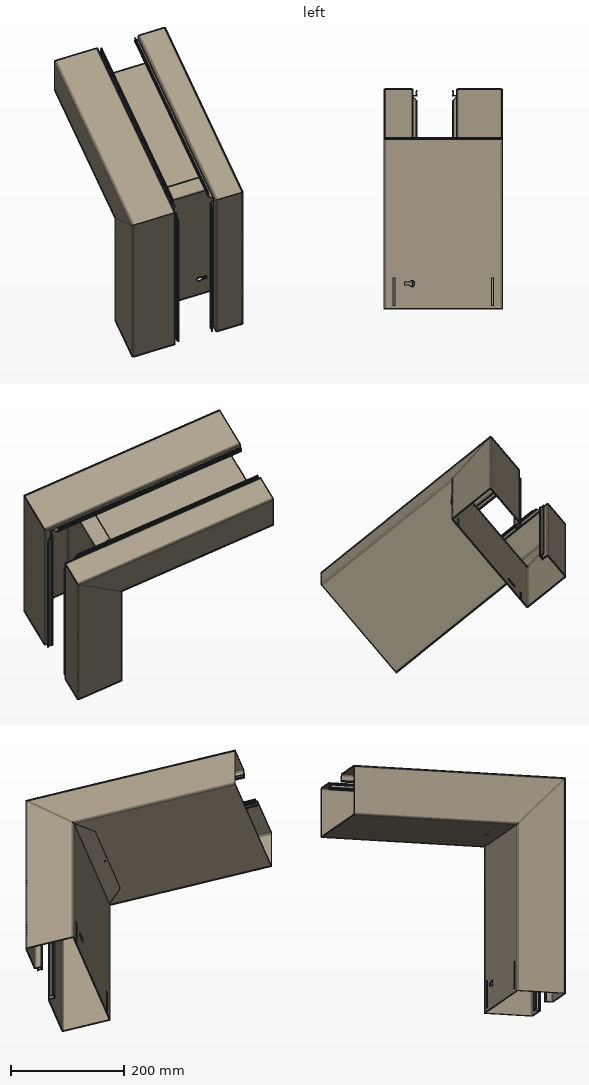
import cadquery as cq

leg_length = 389.5
trunk_width = 210.0
trunk_depth = 89.5
sheet = 1.5
bend_radius = 2.7
inner_bend_radius = bend_radius - sheet

wide_cover_side = 81.8
narrow_cover_side = 52.0
slot_wall_depth = 13.0

lip_sheet = 1.0
lip_reach = 7.0
hook_tip_drop = 3.0
hook_jog = 1.0
hook_jog_low = 2.0
hook_jog_high = 7.5
lip_end_setback = 1.0
lip_miter_gap = 14.8

tab_length = 30.8
tab_rounding = 1.35
tab_hole_diameter = 2.5
tab_hole_setback = 24.0

strap_recess_width = 4.0
strap_recess_length = 48.5
strap_recess_depth = sheet / 2
strap_recess_bottom = 6.2
strap_recess_spacing = 173.7
keyhole_y = 55.7
keyhole_z = 44.8
keyhole_diameter = 10.5
keyhole_neck_width = 5.5
keyhole_neck_reach = 13.2

half_width = trunk_width / 2
floor_z = leg_length - trunk_depth
slot_low_y = wide_cover_side - half_width
slot_high_y = half_width - narrow_cover_side
slot_wall_z = leg_length - slot_wall_depth
swap_x_and_z = cq.Vector(1, 0, -1)


def block(x_range, y_range, z_range):
    sizes = [high - low for low, high in (x_range, y_range, z_range)]
    corner = (x_range[0], y_range[0], z_range[0])
    return cq.Workplane("XY").box(*sizes, centered=False).translate(corner)


def round_bends(body, radius):
    """Round the lengthwise edges of the top and bottom faces."""
    return body.faces(">Z or <Z").edges("|X").fillet(radius)


def trunk_sheet():
    """Rounded C-shaped sheet of the horizontal leg, with its slot walls turned down."""
    along = (0, leg_length)
    slot = block(along, (slot_low_y, slot_high_y), (slot_wall_z, leg_length))
    outside = block(along, (-half_width, half_width), (floor_z, leg_length)).cut(slot)
    slot_and_walls = block(along, (slot_low_y - sheet, slot_high_y + sheet), (slot_wall_z, leg_length))
    inside = block(
        along,
        (sheet - half_width, half_width - sheet),
        (floor_z + sheet, leg_length - sheet),
    ).cut(slot_and_walls)
    return round_bends(outside, bend_radius).cut(round_bends(inside, inner_bend_radius))


def hooked_lip(wall_y, inward):
    """Lip from the foot of a slot wall, turned up into a jogged hook.

    inward is the sign of Y that points into the slot.
    """
    hook_top = slot_wall_depth - hook_tip_drop
    outer = lip_reach
    section = [
        (-lip_sheet, 0),
        (outer, 0),
        (outer, hook_jog_low),
        (outer - hook_jog, hook_jog_low + hook_jog),
        (outer - hook_jog, hook_jog_high),
        (outer, hook_jog_high + hook_jog),
        (outer, hook_top),
        (outer - lip_sheet, hook_top),
        (outer - lip_sheet, hook_jog_high + hook_jog),
        (outer - hook_jog - lip_sheet, hook_jog_high),
        (outer - hook_jog - lip_sheet, lip_sheet),
        (-lip_sheet, lip_sheet),
    ]
    points = [(wall_y + inward * reach, slot_wall_z + height) for reach, height in section]
    lip = cq.Workplane("YZ").polyline(points).close().extrude(leg_length)

    far_x = leg_length - lip_miter_gap
    plan = [
        (lip_end_setback, -lip_sheet),
        (far_x + lip_sheet, -lip_sheet),
        (far_x - lip_reach, lip_reach),
        (lip_end_setback, lip_reach),
    ]
    outline = (
        cq.Workplane("XY")
        .polyline([(x, wall_y + inward * reach) for x, reach in plan])
        .close()
        .extrude(leg_length)
    )

    hook_foot_x = far_x - lip_reach
    hook_rise = hook_top - lip_sheet
    side = [
        (0, 0),
        (leg_length, 0),
        (leg_length, lip_sheet),
        (hook_foot_x, lip_sheet),
        (hook_foot_x - hook_rise, hook_top),
        (0, hook_top),
    ]
    side_outline = (
        cq.Workplane("XZ", origin=(0, half_width, 0))
        .polyline([(x, slot_wall_z + height) for x, height in side])
        .close()
        .extrude(trunk_width)
    )
    return lip.intersect(outline).intersect(side_outline)


def mitred_leg():
    """Horizontal leg cut along the 45 degree plane through the outer corner."""
    leg = trunk_sheet()
    leg = leg.union(hooked_lip(slot_low_y, 1)).union(hooked_lip(slot_high_y, -1))
    kept = (
        cq.Workplane("XZ", origin=(0, half_width, 0))
        .polyline([(0, 0), (leg_length, leg_length), (0, leg_length)])
        .close()
        .extrude(trunk_width)
    )
    return leg.intersect(kept)


def joining_tab():
    """Trapezoidal tab with 45 degree sides, rounded over the inner corner of the two back plates."""
    root_x = floor_z + sheet
    root_half = half_width - bend_radius
    tip_half = root_half - tab_length
    tab = (
        cq.Workplane("XY", origin=(root_x, 0, floor_z + sheet))
        .polyline([(0, -root_half), (0, root_half), (-tab_length, tip_half), (-tab_length, -tip_half)])
        .close()
        .extrude(sheet)
    )
    return tab.faces(">X").edges(">Z").fillet(tab_rounding)


def tab_hole():
    return (
        cq.Workplane("XY", origin=(floor_z - tab_hole_setback, 0, floor_z))
        .circle(tab_hole_diameter / 2)
        .extrude(2 * sheet)
    )


def back_plate_openings():
    """Cutters for two shallow strap recesses and a keyhole through the vertical back plate."""
    plate = cq.Workplane("YZ", origin=(floor_z, 0, 0))
    recess_mid_z = strap_recess_bottom + strap_recess_length / 2
    strap_recesses = (
        plate.pushPoints([(side * strap_recess_spacing / 2, recess_mid_z) for side in (-1, 1)])
        .rect(strap_recess_width, strap_recess_length)
        .extrude(strap_recess_depth)
    )
    keyhole_round = plate.center(keyhole_y, keyhole_z).circle(keyhole_diameter / 2).extrude(sheet)
    keyhole_neck = (
        plate.center(keyhole_y + keyhole_neck_reach / 2, keyhole_z)
        .rect(keyhole_neck_reach, keyhole_neck_width)
        .extrude(sheet)
    )
    return strap_recesses.union(keyhole_round).union(keyhole_neck)


horizontal_leg = mitred_leg()
vertical_leg = horizontal_leg.mirror(swap_x_and_z).cut(back_plate_openings())

corner = horizontal_leg.union(vertical_leg, clean=False).union(joining_tab(), clean=False)
result = corner.cut(tab_hole(), clean=False).solids()